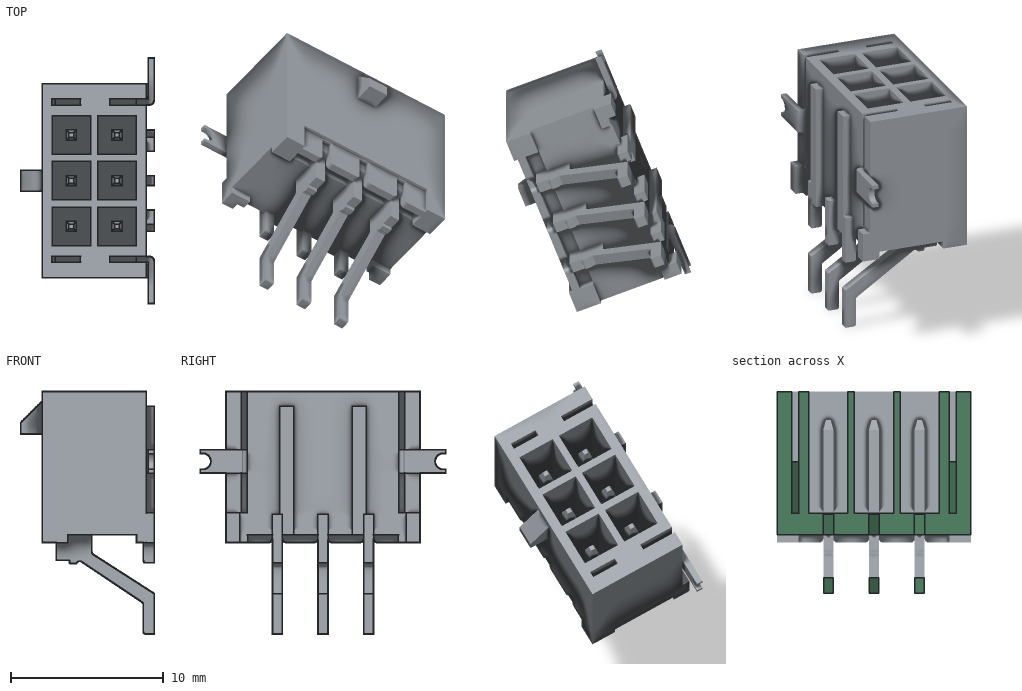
import cadquery as cq
import math


HOUSING_DEPTH = 6.85
HOUSING_WIDTH = 12.74
HOUSING_HEIGHT = 9.92
MOUNT_PLANE_X = 7.35
OVERLAP = 0.16

PITCH = 3.0
ROW_A_X = 1.92
ROW_B_X = ROW_A_X + PITCH
COLUMN_YS = (-PITCH, 0, PITCH)
CELL_SIZE = 2.53
FLOOR_TOP = 1.95

LATCH_REACH = 1.4
LATCH_WIDTH = 1.4
LATCH_TOP = 9.27
LATCH_BOTTOM = 7.12

RECESS_WIDTH = 9.89
RECESS_DEPTH = 0.25
SLOTTED_WALL_BACK = 0.77
WALL_RELIEF_TOP = 0.87
SLOT_TOP = 1.85
SLOT_FLARE = 0.27

NOTCH_TOP = 0.52
NOTCH_FRONT = 1.69
NOTCH_BACK = 6.18

RIB_INNER_Y = 1.92
RIB_OUTER_Y = 2.85
RIB_TOP = 8.95
FOOT_INNER_Y = 5.47

CLIP_THICKNESS = 0.4
CLIP_INNER_Y = 4.96
CLIP_OUTER_Y = 8.05
CLIP_BEND_RADIUS = 0.34
CLIP_ARM_HEIGHT = 1.55
CLIP_ARM_Z = 5.33
CLIP_PLATE_FRONT = 0.87
CLIP_PLATE_BACK = 6.18
CLIP_NOTCH_RADIUS = 0.52
CLIP_NOTCH_DEPTH = 0.7
CHANNEL_FRONT = 0.65
FRONT_WINDOW_BACK = 2.51
BACK_WINDOW_FRONT = 4.45

PIN_WIDTH = 0.66
PIN_TOP = 8.05
PIN_TIP_WIDTH = 0.3
PIN_TIP_HEIGHT = 0.66
TAIL_FRONT = 6.63
TAIL_CORNER = 0.15
BEND_RADIUS = 0.24
BASE_FRONT = 0.92
BASE_BACK = 3.27
BASE_BOTTOM = -1.16
LOWER_CORNER = 0.08
BARB_CORNER = 0.11
BARB_BOTTOM = 1.19
BARB_FRONT = 0.52
BARB_SLOPE_BOTTOM = WALL_RELIEF_TOP
HEEL_FRONT = 1.79
HEEL_BACK = 2.24
HEEL_BOTTOM = -1.37
HEEL_GAP_FRONT = 2.37
HEEL_GAP_BACK = 2.55
HEEL_GAP_TOP = -1.22
LEG_BEND_TOP = -0.71
LEG_KNEE_TOP = -3.33
LEG_KNEE_BOTTOM = -3.96
TAIL_A_BOTTOM = -5.99
TAIL_B_BOTTOM = -1.32


def block(x_range, y_range, z_range):
    """Box between the given limits."""
    size = [high - low for low, high in (x_range, y_range, z_range)]
    corner = (x_range[0], y_range[0], z_range[0])
    return cq.Workplane("XY").box(*size, centered=False).translate(corner)


def both_sides(shape):
    """The shape together with its mirror image across the middle plane."""
    return shape.union(shape.mirror("XZ"))


def extruded_profile(profile, width):
    """XZ profile extruded evenly about the middle plane."""
    return profile.extrude(width / 2, both=True)



def latch():
    profile = (
        cq.Workplane("XZ")
        .moveTo(OVERLAP, LATCH_BOTTOM)
        .lineTo(-LATCH_REACH, LATCH_BOTTOM)
        .lineTo(-LATCH_REACH, LATCH_TOP - LATCH_REACH)
        .lineTo(0, LATCH_TOP)
        .lineTo(OVERLAP, LATCH_TOP)
        .close()
    )
    return extruded_profile(profile, LATCH_WIDTH)


def ribs_and_feet():
    x_range = (HOUSING_DEPTH - OVERLAP, MOUNT_PLANE_X)
    rib = block(x_range, (RIB_INNER_Y, RIB_OUTER_Y), (NOTCH_TOP, RIB_TOP))
    foot = block(x_range, (FOOT_INNER_Y, HOUSING_WIDTH / 2), (0, FLOOR_TOP))
    return both_sides(rib.union(foot))


def cells():
    centers = [(x, y) for x in (ROW_A_X, ROW_B_X) for y in COLUMN_YS]
    return (
        cq.Workplane("XY", origin=(0, 0, FLOOR_TOP))
        .pushPoints(centers)
        .rect(CELL_SIZE, CELL_SIZE)
        .extrude(HOUSING_HEIGHT)
    )


def underside_notch():
    """Crosswise notch, open to the board side around the tails and taller behind the slotted wall."""
    notch_y = (-HOUSING_WIDTH, HOUSING_WIDTH)
    relief_y = (-RECESS_WIDTH / 2, RECESS_WIDTH / 2)
    notch = block((NOTCH_FRONT, NOTCH_BACK), notch_y, (-OVERLAP, NOTCH_TOP))
    tail_opening = block((NOTCH_BACK, MOUNT_PLANE_X + OVERLAP), relief_y, (-OVERLAP, NOTCH_TOP))
    relief = block((SLOTTED_WALL_BACK, NOTCH_FRONT), relief_y, (-OVERLAP, WALL_RELIEF_TOP))
    return notch.union(tail_opening).union(relief)


def front_recess():
    y_range = (-RECESS_WIDTH / 2, RECESS_WIDTH / 2)
    return block((-OVERLAP, RECESS_DEPTH), y_range, (-OVERLAP, FLOOR_TOP))


def contact_slot(y):
    """Slot that reaches the pin base, with rounded flares at its mouth."""
    half = PIN_WIDTH / 2
    arc_offset = SLOT_FLARE * (1 - math.sqrt(0.5))
    return (
        cq.Workplane("YZ")
        .moveTo(-half, SLOT_TOP)
        .lineTo(half, SLOT_TOP)
        .lineTo(half, SLOT_FLARE)
        .threePointArc((half + arc_offset, arc_offset), (half + SLOT_FLARE, 0))
        .lineTo(-half - SLOT_FLARE, 0)
        .threePointArc((-half - arc_offset, arc_offset), (-half, SLOT_FLARE))
        .close()
        .extrude(BASE_FRONT)
        .translate((0, y, 0))
    )


def clip_channels():
    """Channel for each clip plate, open to the board side, with two windows to the top."""
    y_range = (CLIP_INNER_Y, CLIP_INNER_Y + CLIP_THICKNESS)
    back = MOUNT_PLANE_X + OVERLAP
    top = HOUSING_HEIGHT + OVERLAP
    channel = block((CHANNEL_FRONT, back), y_range, (FLOOR_TOP, CLIP_ARM_Z))
    front_window = block((CHANNEL_FRONT, FRONT_WINDOW_BACK), y_range, (FLOOR_TOP, top))
    back_window = block((BACK_WINDOW_FRONT, back), y_range, (FLOOR_TOP, top))
    return both_sides(channel.union(front_window).union(back_window))


def make_housing(pins):
    y_range = (-HOUSING_WIDTH / 2, HOUSING_WIDTH / 2)
    housing = block((0, HOUSING_DEPTH), y_range, (0, HOUSING_HEIGHT))
    housing = housing.union(latch()).union(ribs_and_feet())
    housing = housing.cut(cells()).cut(underside_notch()).cut(front_recess()).cut(clip_channels())
    for y in COLUMN_YS:
        housing = housing.cut(contact_slot(y))
    for pin in pins:
        housing = housing.cut(pin)
    return housing



def pin_shaft(x):
    """Square shaft with a pyramid tip, standing on the base of the pin."""
    tip_start = PIN_TOP - PIN_TIP_HEIGHT
    shaft = (
        cq.Workplane("XY", origin=(x, 0, SLOT_TOP - OVERLAP))
        .rect(PIN_WIDTH, PIN_WIDTH)
        .extrude(tip_start - SLOT_TOP + OVERLAP)
    )
    tip = (
        cq.Workplane("XY", origin=(x, 0, tip_start))
        .rect(PIN_WIDTH, PIN_WIDTH)
        .workplane(offset=PIN_TIP_HEIGHT)
        .rect(PIN_TIP_WIDTH, PIN_TIP_WIDTH)
        .loft(ruled=True)
    )
    return shaft.union(tip)


def round_edge(shape, x, z, radius):
    """Round the crosswise edge of the shape that passes through (x, z)."""
    return shape.edges(cq.selectors.NearestToPointSelector((x, 0, z))).fillet(radius)


def make_row_a_pin(y):
    """Pin with a barbed base and a long sloping leg that ends in a board tail."""
    profile = (
        cq.Workplane("XZ")
        .moveTo(BASE_BACK, SLOT_TOP)
        .lineTo(BARB_FRONT, SLOT_TOP)
        .lineTo(BARB_FRONT, BARB_BOTTOM)
        .lineTo(BASE_FRONT, BARB_SLOPE_BOTTOM)
        .lineTo(BASE_FRONT, BASE_BOTTOM)
        .lineTo(HEEL_FRONT, BASE_BOTTOM)
        .lineTo(HEEL_FRONT, HEEL_BOTTOM)
        .lineTo(HEEL_BACK, HEEL_BOTTOM)
        .lineTo(HEEL_GAP_FRONT, HEEL_GAP_TOP)
        .lineTo(HEEL_GAP_BACK, HEEL_GAP_TOP)
        .lineTo(TAIL_FRONT, LEG_KNEE_BOTTOM)
        .lineTo(TAIL_FRONT, TAIL_A_BOTTOM)
        .lineTo(MOUNT_PLANE_X, TAIL_A_BOTTOM)
        .lineTo(MOUNT_PLANE_X, LEG_KNEE_TOP)
        .lineTo(BASE_BACK, LEG_BEND_TOP)
        .close()
    )
    pin = extruded_profile(profile, PIN_WIDTH)
    pin = round_edge(pin, BARB_FRONT, SLOT_TOP, BARB_CORNER)
    pin = round_edge(pin, BASE_FRONT, BASE_BOTTOM, LOWER_CORNER)
    pin = round_edge(pin, HEEL_FRONT, HEEL_BOTTOM, LOWER_CORNER)
    pin = round_edge(pin, TAIL_FRONT, LEG_KNEE_BOTTOM, BEND_RADIUS)
    pin = round_edge(pin, BASE_BACK, LEG_BEND_TOP, BEND_RADIUS)
    pin = round_edge(pin, TAIL_FRONT, TAIL_A_BOTTOM, TAIL_CORNER)
    return pin.union(pin_shaft(ROW_A_X)).translate((0, y, 0))


def make_row_b_pin(y):
    """Pin whose base runs straight back to a short board tail."""
    profile = (
        cq.Workplane("XZ")
        .moveTo(ROW_B_X - PIN_WIDTH / 2, SLOT_TOP)
        .lineTo(MOUNT_PLANE_X, SLOT_TOP)
        .lineTo(MOUNT_PLANE_X, TAIL_B_BOTTOM)
        .lineTo(TAIL_FRONT, TAIL_B_BOTTOM)
        .lineTo(TAIL_FRONT, NOTCH_TOP)
        .lineTo(ROW_B_X - PIN_WIDTH / 2, NOTCH_TOP)
        .close()
    )
    pin = extruded_profile(profile, PIN_WIDTH)
    pin = round_edge(pin, TAIL_FRONT, TAIL_B_BOTTOM, TAIL_CORNER)
    return pin.union(pin_shaft(ROW_B_X)).translate((0, y, 0))



def make_clip():
    """Clip on the +Y side: a plate in the channel and an arm bent out along the board."""
    arm_z = (CLIP_ARM_Z - CLIP_ARM_HEIGHT / 2, CLIP_ARM_Z + CLIP_ARM_HEIGHT / 2)
    plate_y = (CLIP_INNER_Y, CLIP_INNER_Y + CLIP_THICKNESS)
    arm = block((MOUNT_PLANE_X - CLIP_THICKNESS, MOUNT_PLANE_X), (CLIP_INNER_Y, CLIP_OUTER_Y), arm_z)
    neck = block((CLIP_PLATE_BACK, MOUNT_PLANE_X), plate_y, arm_z)
    bent_arm = arm.union(neck)
    bent_arm = bent_arm.edges("|Z").edges(">X and <Y").fillet(CLIP_BEND_RADIUS)
    plate = block((CLIP_PLATE_FRONT, CLIP_PLATE_BACK), plate_y, (FLOOR_TOP, CLIP_ARM_Z))
    notch_length = 4 * CLIP_NOTCH_RADIUS
    notch_center_y = CLIP_OUTER_Y - CLIP_NOTCH_DEPTH + notch_length / 2
    notch = (
        cq.Workplane("YZ")
        .center(notch_center_y, CLIP_ARM_Z)
        .slot2D(notch_length, 2 * CLIP_NOTCH_RADIUS)
        .extrude(MOUNT_PLANE_X + OVERLAP)
    )
    return bent_arm.union(plate).cut(notch)


row_a_pins = [make_row_a_pin(y) for y in COLUMN_YS]
row_b_pins = [make_row_b_pin(y) for y in COLUMN_YS]
pins = row_a_pins + row_b_pins
housing = make_housing(pins)
clip = make_clip()
clips = [clip, clip.mirror("XZ")]

bodies = [housing, *pins, *clips]
result = cq.Compound.makeCompound([body.solids().val() for body in bodies])